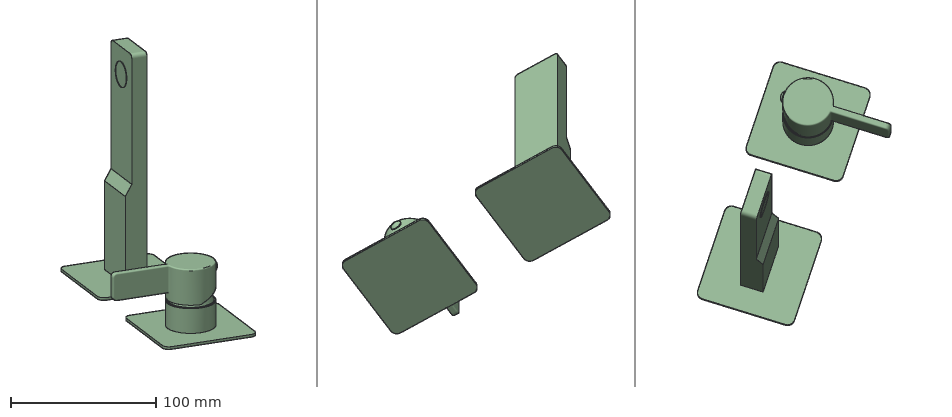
import cadquery as cq
import math

PLATE_SIZE = 70.0
PLATE_THICKNESS = 2.0
PLATE_CORNER_RADIUS = 5.0
UNIT_SPACING = 109.0

SPOUT_WIDTH = 35.0
SPOUT_DEPTH = 16.5
SPOUT_TOP_DEPTH = 11.6
SPOUT_TOP_Z = 170.0
SPOUT_TAPER_START_Z = 67.0
SPOUT_TAPER_END_Z = 75.2
SPOUT_CORNER_RADIUS = 3.0
OUTLET_DIAMETER = 18.5
OUTLET_Z = 150.0
OUTLET_PROTRUSION = 0.5

VALVE_RADIUS = 17.5
BASE_TOP_Z = 20.6
BASE_CHAMFER = 0.5
NECK_BOTTOM_RADIUS = 16.2
NECK_TOP_RADIUS = 13.4
NECK_HEIGHT = 10.0

HANDLE_BOTTOM_Z = 22.6
HANDLE_TOP_Z = 48.6
EDGE_RADIUS = 1.0
ROOT_RADIUS = 0.8
ROOT_TOP_MARGIN = 0.1
REAR_RELIEF_ANGLE = 25.0
LEVER_TIP_Y = -59.53
LEVER_WIDTH = 5.0
LEVER_HEIGHT = 20.0
LEVER_CORNER_RADIUS = 3.0
BUTTON_RADIUS = 4.0
BUTTON_Z = 43.0
BUTTON_RIM_Y = 18.0
BUTTON_TIP_Y = 19.7


def wall_plate(center_x):
    return (
        cq.Workplane("XY")
        .center(center_x, 0)
        .rect(PLATE_SIZE, PLATE_SIZE)
        .extrude(PLATE_THICKNESS)
        .edges("|Z")
        .fillet(PLATE_CORNER_RADIUS)
    )


def make_spout():
    back_y = SPOUT_DEPTH / 2
    lower_front_y = -SPOUT_DEPTH / 2
    upper_front_y = back_y - SPOUT_TOP_DEPTH
    column = (
        cq.Workplane("YZ")
        .moveTo(back_y, PLATE_THICKNESS)
        .lineTo(back_y, SPOUT_TOP_Z)
        .lineTo(upper_front_y, SPOUT_TOP_Z)
        .lineTo(upper_front_y, SPOUT_TAPER_END_Z)
        .lineTo(lower_front_y, SPOUT_TAPER_START_Z)
        .lineTo(lower_front_y, PLATE_THICKNESS)
        .close()
        .extrude(SPOUT_WIDTH / 2, both=True)
        .faces(">Z")
        .edges("|Y")
        .fillet(SPOUT_CORNER_RADIUS)
    )
    outlet = (
        cq.Workplane("XZ", origin=(0, upper_front_y, OUTLET_Z))
        .circle(OUTLET_DIAMETER / 2)
        .extrude(OUTLET_PROTRUSION)
    )
    return wall_plate(0).union(column).union(outlet)


def make_neck():
    return (
        cq.Workplane("XY", origin=(UNIT_SPACING, 0, BASE_TOP_Z))
        .circle(NECK_BOTTOM_RADIUS)
        .workplane(offset=NECK_HEIGHT)
        .circle(NECK_TOP_RADIUS)
        .loft()
    )


def make_valve_base():
    barrel = (
        cq.Workplane("XY", origin=(UNIT_SPACING, 0, PLATE_THICKNESS))
        .circle(VALVE_RADIUS)
        .extrude(BASE_TOP_Z - PLATE_THICKNESS)
        .faces(">Z")
        .chamfer(BASE_CHAMFER)
    )
    return wall_plate(UNIT_SPACING).union(barrel).union(make_neck())


def make_lever():
    return (
        cq.Workplane("XY")
        .box(LEVER_WIDTH, -LEVER_TIP_Y, LEVER_HEIGHT, centered=(True, False, False))
        .translate((UNIT_SPACING, LEVER_TIP_Y, HANDLE_TOP_Z - LEVER_HEIGHT))
        .edges("|X and <Y")
        .fillet(LEVER_CORNER_RADIUS)
        .faces("<Y")
        .edges("|Z")
        .fillet(EDGE_RADIUS)
    )


def make_button():
    rise = BUTTON_TIP_Y - BUTTON_RIM_Y
    sphere_radius = (BUTTON_RADIUS**2 + rise**2) / (2 * rise)
    mid_angle = math.asin(BUTTON_RADIUS / sphere_radius) / 2
    mid_point = (
        sphere_radius * math.sin(mid_angle),
        BUTTON_TIP_Y - sphere_radius * (1 - math.cos(mid_angle)),
    )
    button_root_y = VALVE_RADIUS - 2 * EDGE_RADIUS
    return (
        cq.Workplane("XY", origin=(UNIT_SPACING, 0, BUTTON_Z))
        .moveTo(0, button_root_y)
        .lineTo(BUTTON_RADIUS, button_root_y)
        .lineTo(BUTTON_RADIUS, BUTTON_RIM_Y)
        .threePointArc(mid_point, (0, BUTTON_TIP_Y))
        .close()
        .revolve(360, (0, 0), (0, 1))
    )


def make_rear_relief():
    reach = VALVE_RADIUS + EDGE_RADIUS
    rise = reach * math.tan(math.radians(REAR_RELIEF_ANGLE))
    return (
        cq.Workplane("YZ", origin=(UNIT_SPACING, 0, HANDLE_BOTTOM_Z))
        .polyline([(0, 0), (reach, 0), (reach, rise)])
        .close()
        .extrude(reach, both=True)
    )


def make_handle():
    cap = (
        cq.Workplane("XY", origin=(UNIT_SPACING, 0, HANDLE_BOTTOM_Z))
        .circle(VALVE_RADIUS)
        .extrude(HANDLE_TOP_Z - HANDLE_BOTTOM_Z)
        .faces(">Z")
        .edges()
        .fillet(EDGE_RADIUS)
    )
    lever_root = cq.selectors.BoxSelector(
        (UNIT_SPACING - LEVER_WIDTH, -VALVE_RADIUS - EDGE_RADIUS, HANDLE_BOTTOM_Z + EDGE_RADIUS),
        (UNIT_SPACING + LEVER_WIDTH, -VALVE_RADIUS + EDGE_RADIUS, HANDLE_TOP_Z - ROOT_TOP_MARGIN),
    )
    return (
        cap.union(make_lever())
        .edges(lever_root)
        .fillet(ROOT_RADIUS)
        .union(make_button())
        .cut(make_rear_relief())
        .cut(make_neck())
    )


spout = make_spout()
valve_base = make_valve_base()
handle = make_handle()

result = cq.Compound.makeCompound([spout.val(), valve_base.val(), handle.val()])